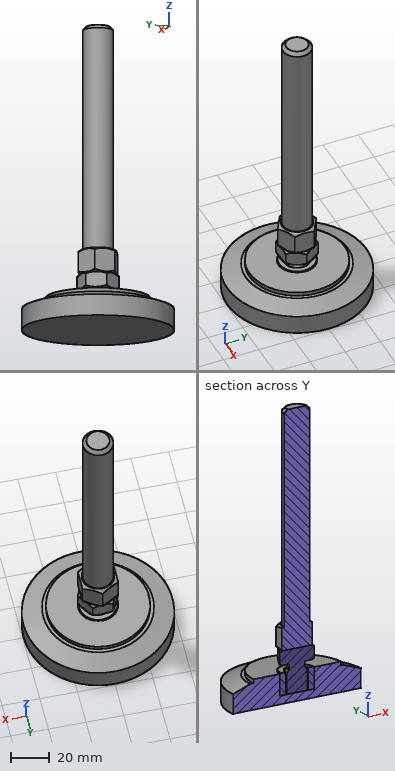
import cadquery as cq
import math

FOOT_DIAMETER = 79.0
FOOT_RIM_HEIGHT = 10.95
SHOULDER_DIAMETER = 58.0
SHOULDER_HEIGHT = 14.7
RAISED_DIAMETER = 54.0
FOOT_HEIGHT = 16.9

INSERT_DIAMETER = 21.0
INSERT_TOP = 17.2
INSERT_CHAMFER = 0.5
INSERT_CHAMFER_DEPTH = 0.35
SOCKET_DIAMETER = 13.84
SOCKET_FLOOR_HEIGHT = 5.0

COLLAR_DIAMETER = 12.95
NECK_DIAMETER = 9.9
NECK_START_HEIGHT = 18.05
LOWER_HEX_BOTTOM = 20.9
LOWER_HEX_TOP = 29.2
LOWER_HEX_TURN = 2.8

ROD_DIAMETER = 16.0
ROD_CHAMFER = 2.0
ROD_TOP = 160.03
UPPER_HEX_TOP = 42.1
UPPER_HEX_TURN = 30.0

HEX_ACROSS_FLATS = 19.0
HEX_ACROSS_CORNERS = HEX_ACROSS_FLATS / math.cos(math.radians(30))
HEX_CHAMFER_ANGLE = 30.0
HEX_FACE_DIAMETER = 18.4
ROD_SIDE_FACE_DIAMETER = 17.0

COLLAR_STEP = (COLLAR_DIAMETER - NECK_DIAMETER) / 2


def cylinder(diameter, bottom, top):
    """Upright cylinder on the Z axis between two heights."""
    return cq.Workplane("XY").workplane(offset=bottom).circle(diameter / 2).extrude(top - bottom)


def chamfered_hexagon(bottom, top, bottom_face_diameter, top_face_diameter, turn):
    """Hexagon on the Z axis with its corners turned off conically at both ends."""
    prism = (
        cq.Workplane("XY")
        .workplane(offset=bottom)
        .polygon(6, HEX_ACROSS_CORNERS)
        .extrude(top - bottom)
        .rotate((0, 0, 0), (0, 0, 1), turn)
    )
    corner_radius = HEX_ACROSS_CORNERS / 2
    slope = math.tan(math.radians(HEX_CHAMFER_ANGLE))
    bottom_drop = (corner_radius - bottom_face_diameter / 2) * slope
    top_drop = (corner_radius - top_face_diameter / 2) * slope
    turned_blank = (
        cq.Workplane("XZ")
        .moveTo(0, bottom)
        .lineTo(bottom_face_diameter / 2, bottom)
        .lineTo(corner_radius, bottom + bottom_drop)
        .lineTo(corner_radius, top - top_drop)
        .lineTo(top_face_diameter / 2, top)
        .lineTo(0, top)
        .close()
        .revolve(360, (0, 0, 0), (0, 1, 0))
    )
    return prism.intersect(turned_blank)


def make_foot():
    body = (
        cq.Workplane("XZ")
        .moveTo(0, 0)
        .lineTo(FOOT_DIAMETER / 2, 0)
        .lineTo(FOOT_DIAMETER / 2, FOOT_RIM_HEIGHT)
        .lineTo(SHOULDER_DIAMETER / 2, SHOULDER_HEIGHT)
        .lineTo(RAISED_DIAMETER / 2, SHOULDER_HEIGHT)
        .lineTo(RAISED_DIAMETER / 2, FOOT_HEIGHT)
        .lineTo(0, FOOT_HEIGHT)
        .close()
        .revolve(360, (0, 0, 0), (0, 1, 0))
    )
    return body.cut(cylinder(INSERT_DIAMETER, SOCKET_FLOOR_HEIGHT, FOOT_HEIGHT))


def make_socket_insert():
    blank = cylinder(INSERT_DIAMETER, SOCKET_FLOOR_HEIGHT, INSERT_TOP)
    blank = blank.faces(">Z").chamfer(INSERT_CHAMFER_DEPTH, INSERT_CHAMFER)
    return blank.cut(cylinder(SOCKET_DIAMETER, SOCKET_FLOOR_HEIGHT, INSERT_TOP))


def make_foot_stud():
    collar = cylinder(COLLAR_DIAMETER, SOCKET_FLOOR_HEIGHT, NECK_START_HEIGHT).faces(">Z").chamfer(COLLAR_STEP)
    neck = cylinder(NECK_DIAMETER, NECK_START_HEIGHT, LOWER_HEX_BOTTOM)
    hexagon = chamfered_hexagon(
        LOWER_HEX_BOTTOM, LOWER_HEX_TOP, HEX_FACE_DIAMETER, HEX_FACE_DIAMETER, LOWER_HEX_TURN
    )
    return collar.union(neck).union(hexagon)


def make_rod():
    hexagon = chamfered_hexagon(
        LOWER_HEX_TOP, UPPER_HEX_TOP, HEX_FACE_DIAMETER, ROD_SIDE_FACE_DIAMETER, UPPER_HEX_TURN
    )
    shank = cylinder(ROD_DIAMETER, UPPER_HEX_TOP, ROD_TOP).faces(">Z").chamfer(ROD_CHAMFER)
    return hexagon.union(shank)


foot = make_foot()
socket_insert = make_socket_insert()
foot_stud = make_foot_stud()
rod = make_rod()

result = cq.Compound.makeCompound([foot.val(), socket_insert.val(), foot_stud.val(), rod.val()])